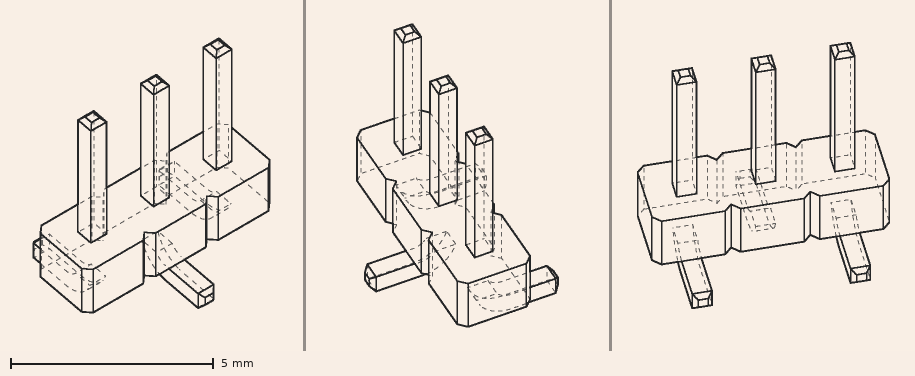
import cadquery as cq

pin_count = 3
total_height = 6.2
body_length = 6.0
body_height = 1.5
body_base = 0.7
body_chamfer = 0.2
pin_width = 0.5
pin_taper = 0.125
foot_span = 4.2

pitch = body_length / pin_count
body_width = pitch
foot_reach = foot_span / 2
half_pin = pin_width / 2
inner_bend = pin_width
outer_bend = inner_bend + pin_width
bend_x = half_pin - outer_bend


def make_body():
    """Row of square blocks whose chamfered corners leave V notches between them."""
    body = cq.Workplane("XY")
    for index in range(pin_count):
        block = (
            cq.Workplane("XY", origin=(0, pin_y(index), body_base))
            .rect(body_width, pitch)
            .extrude(body_height)
            .edges("|Z")
            .chamfer(body_chamfer)
        )
        body = body.union(block)
    return body


def pin_y(index):
    """Position of a pin along the row."""
    return (index - (pin_count - 1) / 2) * pitch


def make_pin():
    """Square pin bent through a quarter turn into a foot toward -X, with tapered ends."""
    return (
        cq.Workplane("XZ")
        .moveTo(-foot_reach, 0)
        .lineTo(bend_x, 0)
        .radiusArc((half_pin, outer_bend), -outer_bend)
        .lineTo(half_pin, total_height)
        .lineTo(-half_pin, total_height)
        .lineTo(-half_pin, outer_bend)
        .radiusArc((bend_x, pin_width), inner_bend)
        .lineTo(-foot_reach, pin_width)
        .close()
        .extrude(half_pin, both=True)
        .faces(">Z or <X")
        .chamfer(pin_taper)
    )


left_pin = make_pin()
right_pin = left_pin.mirror("YZ")
result = make_body()
for index in range(pin_count):
    pin = left_pin if index % 2 == 0 else right_pin
    result = result.union(pin.translate((0, pin_y(index), 0)))